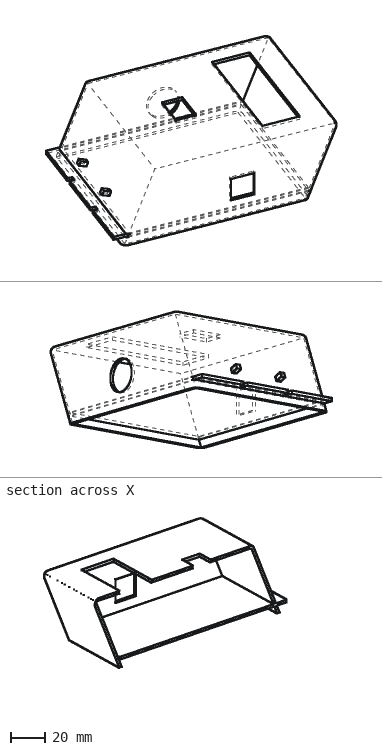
import cadquery as cq
import math

width = 100.0
depth = 120.0
height = 50.0
lean = 20.0
lean_angle = math.degrees(math.atan2(lean, height))
edge_radius = 3.6
wall = 2.0
wall_along_y = wall / math.cos(math.radians(lean_angle))
cut_depth = 2 * wall

display_width = 72.0
display_depth = 24.0
display_front = 95.7
window_width = 20.0
window_depth = 13.0
window_front = 51.9

side_hole_diameter = 20.0
side_hole_y = 70.0
side_hole_z = 20.0
side_slot_size = 15.2
side_slot_front = 69.4
side_slot_bottom = 13.3

peg_size = 3.0
peg_length = 5.0
peg_spacing = 33.1
peg_z = 15.6
peg_positions = (-peg_spacing / 2, peg_spacing / 2)

plate_thickness = 2.0
plate_bottom = 5.0
plate_overhang = 5.0
plate_back = depth + lean * plate_bottom / height - wall_along_y
plate_side_skin = 1.0
plate_clearance = 1.0
notch_depth = 3.0

groove_left = -width / 2 + plate_side_skin
groove_right = width / 2 - plate_side_skin


def box_between(x_range, y_range, z_range):
    """Axis-aligned box between the given low and high coordinates."""
    return cq.Workplane("XY").box(
        x_range[1] - x_range[0], y_range[1] - y_range[0], z_range[1] - z_range[0], centered=False
    ).translate((x_range[0], y_range[0], z_range[0]))


def leaning_block(block_width, front, back, top):
    """Block from Z = 0 to top that leans with the housing; front and back are its Y limits at Z = 0."""
    shift = lean * top / height
    profile = [(front, 0), (back, 0), (back + shift, top), (front + shift, top)]
    return cq.Workplane("YZ").polyline(profile).close().extrude(block_width / 2, both=True)


def make_shell():
    """Rounded leaning box with an even wall and an open bottom."""
    outside = leaning_block(width, 0, depth, height)
    outside = outside.edges("not <Z").fillet(edge_radius)
    cavity = leaning_block(width - 2 * wall, wall_along_y, depth - wall_along_y, height - wall)
    return outside.cut(cavity)


def top_opening(opening_width, opening_depth, front):
    """Cutter for a rectangular opening through the top wall."""
    return box_between(
        (-opening_width / 2, opening_width / 2), (front, front + opening_depth), (height - cut_depth, height)
    )


def side_hole():
    """Cutter for the round hole through the -X wall."""
    return (
        cq.Workplane("YZ", origin=(-width / 2, 0, 0))
        .center(side_hole_y, side_hole_z)
        .circle(side_hole_diameter / 2)
        .extrude(cut_depth)
    )


def side_slot():
    """Cutter for the rectangular opening through the +X wall."""
    return box_between(
        (width / 2 - cut_depth, width / 2),
        (side_slot_front, side_slot_front + side_slot_size),
        (side_slot_bottom, side_slot_bottom + side_slot_size),
    )


def plate_groove():
    """Cutter for the groove around the plate, open through the front wall."""
    return box_between(
        (groove_left, groove_right), (-plate_overhang, plate_back), (plate_bottom, plate_bottom + plate_thickness)
    )


def make_peg(x):
    """Square peg at right angles to the front face, rooted in the middle of the wall."""
    root = wall / 2
    peg = box_between((-peg_size / 2, peg_size / 2), (-peg_length, root), (-peg_size / 2, peg_size / 2))
    peg = peg.rotate((0, 0, 0), (1, 0, 0), -lean_angle)
    return peg.translate((x, lean * peg_z / height, peg_z))


def make_housing():
    housing = make_shell()
    housing = housing.cut(top_opening(display_width, display_depth, display_front))
    housing = housing.cut(top_opening(window_width, window_depth, window_front))
    housing = housing.cut(side_hole())
    housing = housing.cut(side_slot())
    housing = housing.cut(plate_groove())
    for x in peg_positions:
        housing = housing.union(make_peg(x))
    return housing


def make_floor_plate():
    z_range = (plate_bottom, plate_bottom + plate_thickness)
    plate = box_between((groove_left, groove_right - plate_clearance), (-plate_overhang, plate_back), z_range)
    for x in peg_positions:
        notch = box_between(
            (x - peg_size / 2, x + peg_size / 2), (-plate_overhang, notch_depth - plate_overhang), z_range
        )
        plate = plate.cut(notch)
    return plate


housing = make_housing()
floor_plate = make_floor_plate()
result = cq.Compound.makeCompound([housing.val(), floor_plate.val()])